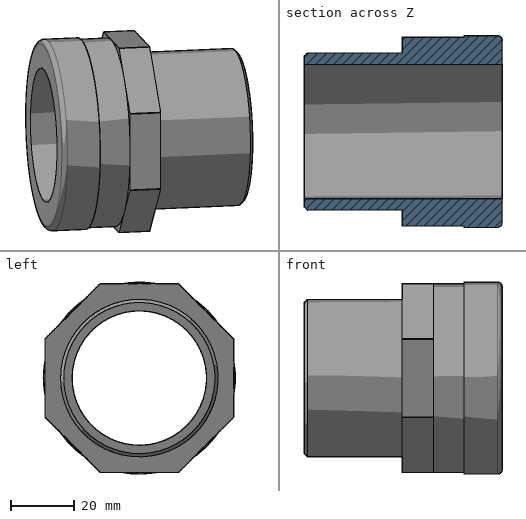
import cadquery as cq

total_length = 62.9
spigot_length = 31.1
octagon_width = 9.95
collar_length = 12.2

bore_diameter = 42.6
spigot_diameter = 50.0
body_diameter = 60.0
collar_diameter = 61.0
octagon_corner_diameter = 64.85

octagon_sides = 8

spigot_chamfer = 1.0
collar_edge_radius = 1.5

collar_start = total_length - collar_length


def cylinder(start, length, diameter):
    """Solid cylinder on the X axis."""
    return cq.Workplane("YZ", origin=(start, 0, 0)).circle(diameter / 2).extrude(length)


spigot = cylinder(0, spigot_length, spigot_diameter)
spigot = spigot.faces("<X").edges().chamfer(spigot_chamfer)

octagon = (
    cq.Workplane("YZ", origin=(spigot_length, 0, 0))
    .polygon(octagon_sides, body_diameter, circumscribed=True)
    .extrude(octagon_width)
)
octagon = octagon.intersect(cylinder(spigot_length, octagon_width, octagon_corner_diameter))

body = cylinder(spigot_length, collar_start - spigot_length, body_diameter)

collar = cylinder(collar_start, collar_length, collar_diameter)
collar = collar.faces(">X").edges().fillet(collar_edge_radius)

bore = cylinder(0, total_length, bore_diameter)

result = spigot.union(octagon).union(body).union(collar).cut(bore)